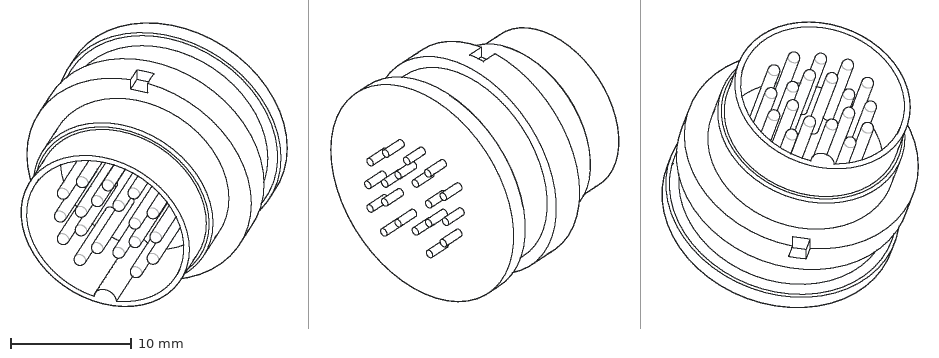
import cadquery as cq


barrel_end = 4.0
collar_front = 8.0
collar_back = 11.0
flange_front = 15.0
flange_back = 16.5
pin_back = 18.5
cavity_depth = 8.0
pin_front = 0.2

cavity_radius = 7.0
barrel_radius = 7.5
shoulder_radius = 8.0
neck_radius = 9.0
flange_radius = 10.0
shoulder_chamfer = 0.25

ring_tube_radius = 0.5
ring_center_radius = 9.2

notch_width = 1.5
notch_depth = 1.0
notch_length = 1.5

key_radius = 1.0

contact_radius = 0.5
solder_radius = 0.35
inner_near = 0.95
inner_far = 2.4
center_pin = (0, 4.25)
side_pins = [
    (inner_near, inner_far),
    (inner_far, inner_near),
    (inner_far, -inner_near),
    (inner_near, -inner_far),
    (2.3, 4.0),
    (4.0, 2.4),
    (4.25, 0),
    (4.0, -2.25),
    (2.5, -4.0),
]


def cylinder_y(radius, start, end, x=0, z=0):
    """Cylinder along Y between two distances from the mating end."""
    center = cq.Vector(x, start, z)
    return cq.Workplane(obj=cq.Solid.makeCylinder(radius, end - start, center, cq.Vector(0, 1, 0)))


def make_shell():
    """Stepped body of revolution with the blind mating cavity."""
    profile = [
        (0, cavity_depth),
        (cavity_radius, cavity_depth),
        (cavity_radius, 0),
        (barrel_radius, 0),
        (barrel_radius, barrel_end),
        (shoulder_radius - shoulder_chamfer, barrel_end),
        (shoulder_radius, barrel_end + shoulder_chamfer),
        (shoulder_radius, collar_front),
        (flange_radius, collar_front),
        (flange_radius, collar_back),
        (neck_radius, collar_back),
        (neck_radius, flange_front),
        (flange_radius, flange_front),
        (flange_radius, flange_back),
        (0, flange_back),
    ]
    return cq.Workplane("XY").polyline(profile).close().revolve(360, (0, 0), (0, 1))


def make_sealing_ring():
    ring = cq.Solid.makeTorus(
        ring_center_radius, ring_tube_radius, cq.Vector(0, flange_front, 0), cq.Vector(0, 1, 0)
    )
    return cq.Workplane(obj=ring)


def make_notches():
    """Cutters for the two notches, open to the front and the rim of the collar."""
    cutters = cq.Workplane("XY")
    for side in (1, -1):
        cutter = cq.Workplane("XY").box(notch_width, notch_length, 2 * notch_depth)
        cutters = cutters.add(cutter.translate((0, collar_front + notch_length / 2, side * flange_radius)))
    return cutters.combine()


def make_key():
    """Half-round rib along the bottom of the cavity, flush with the mating end."""
    rib = cylinder_y(key_radius, 0, cavity_depth, z=-cavity_radius)
    return rib.intersect(cylinder_y(barrel_radius, 0, cavity_depth))


def make_pin(x, z):
    tip_center = pin_front + contact_radius
    contact = cylinder_y(contact_radius, tip_center, flange_back, x, z)
    tip = cq.Workplane("XY").sphere(contact_radius).translate((x, tip_center, z))
    solder_end = cylinder_y(solder_radius, flange_back, pin_back, x, z)
    return contact.union(tip).union(solder_end)


result = make_shell().cut(make_notches()).union(make_sealing_ring()).union(make_key())
result = result.union(make_pin(*center_pin))
for pin_x, pin_z in side_pins:
    for side in (1, -1):
        result = result.union(make_pin(side * pin_x, pin_z))